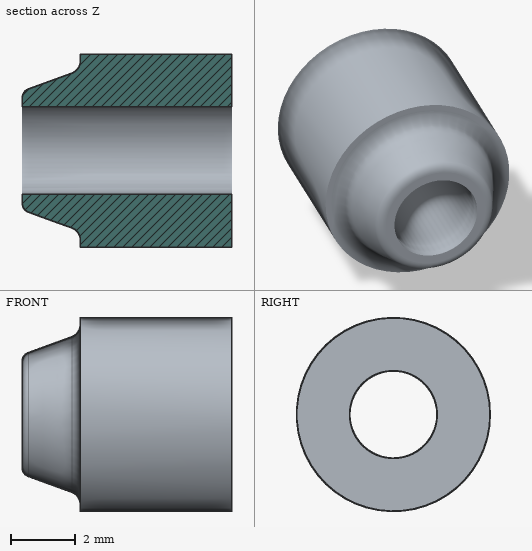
import cadquery as cq
import math

total_length = 6.5
body_diameter = 6.0
bore_diameter = 2.7
nose_length = 1.8
nose_base_diameter = 5.0
nose_half_angle = 20.0
shoulder_fillet = 0.4
tip_fillet = 0.3
selection_margin = 0.03

tip_x = -total_length / 2
shoulder_x = tip_x + nose_length
body_length = total_length - nose_length
nose_base_radius = nose_base_diameter / 2
nose_tip_radius = nose_base_radius - nose_length * math.tan(math.radians(nose_half_angle))


def make_body():
    """Plain cylinder behind the shoulder."""
    return cq.Workplane("YZ", origin=(shoulder_x, 0, 0)).circle(body_diameter / 2).extrude(body_length)


def make_nose():
    """Cone with its small end at the tip."""
    profile = (
        cq.Workplane("XY")
        .moveTo(tip_x, 0)
        .lineTo(tip_x, nose_tip_radius)
        .lineTo(shoulder_x, nose_base_radius)
        .lineTo(shoulder_x, 0)
        .close()
    )
    return profile.revolve(360, (0, 0, 0), (1, 0, 0))


def round_edge_at(part, x, edge_radius, fillet_radius):
    """Fillet the circular edges no larger than edge_radius in the plane at x."""
    outer = edge_radius + selection_margin
    corner_low = (x - selection_margin, -outer, -outer)
    corner_high = (x + selection_margin, outer, outer)
    edge_box = cq.selectors.BoxSelector(corner_low, corner_high, boundingbox=True)
    return part.edges(edge_box).fillet(fillet_radius)


def cut_bore(part):
    """Through bore along the axis."""
    bore = cq.Workplane("YZ", origin=(tip_x, 0, 0)).circle(bore_diameter / 2).extrude(total_length)
    return part.cut(bore)


blank = make_body().union(make_nose())
blank = round_edge_at(blank, shoulder_x, nose_base_radius, shoulder_fillet)
blank = round_edge_at(blank, tip_x, nose_tip_radius, tip_fillet)
result = cut_bore(blank)